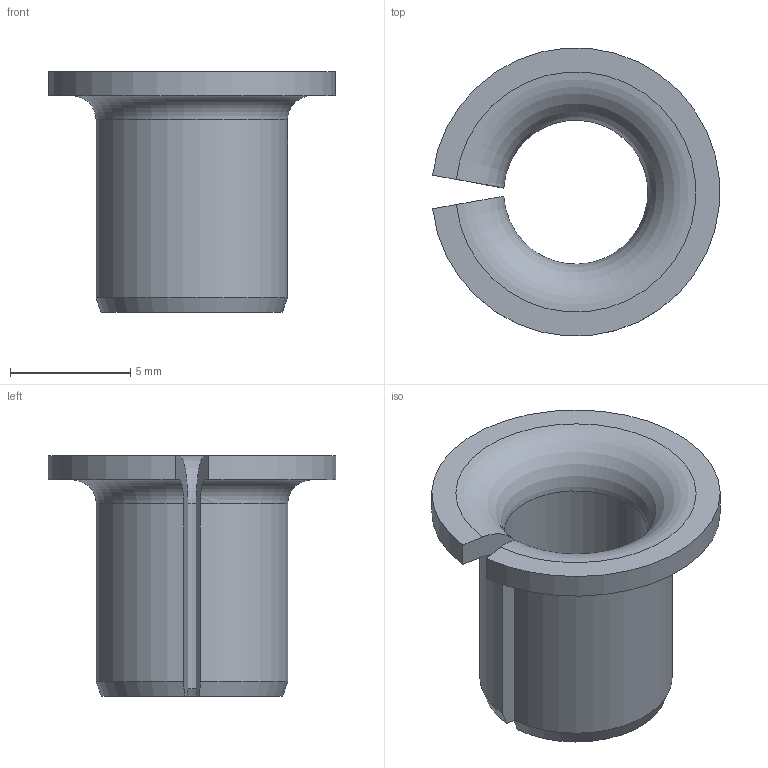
import cadquery as cq
import math

total_height = 10.0
bore_radius = 3.0
wall_thickness = 1.0
flange_radius = 6.0
flange_thickness = 1.0
mouth_radius = 2.0
outer_chamfer_height = 0.6
inner_chamfer_height = 0.3
outer_chamfer_angle = 20.0
inner_chamfer_angle = 30.0
slot_half_angle = 10.0
slot_apex_x = -2.0
slot_overrun = 1.0

body_radius = bore_radius + wall_thickness
neck_radius = mouth_radius - wall_thickness
flange_bottom = total_height - flange_thickness
curve_start = total_height - mouth_radius
curve_end_radius = bore_radius + mouth_radius
outer_chamfer_width = outer_chamfer_height * math.tan(math.radians(outer_chamfer_angle))
inner_chamfer_width = inner_chamfer_height * math.tan(math.radians(inner_chamfer_angle))
outer_tip_radius = body_radius - outer_chamfer_width
inner_tip_radius = bore_radius + inner_chamfer_width
arc_mid = math.sqrt(0.5)


def make_sleeve():
    """Revolve the wall profile (radius, height) about the Z axis."""
    neck_mid = (
        curve_end_radius - neck_radius * arc_mid,
        curve_start + neck_radius * arc_mid,
    )
    mouth_mid = (
        curve_end_radius - mouth_radius * arc_mid,
        curve_start + mouth_radius * arc_mid,
    )
    profile = (
        cq.Workplane("XZ")
        .moveTo(inner_tip_radius, 0)
        .lineTo(outer_tip_radius, 0)
        .lineTo(body_radius, outer_chamfer_height)
        .lineTo(body_radius, curve_start)
        .threePointArc(neck_mid, (curve_end_radius, flange_bottom))
        .lineTo(flange_radius, flange_bottom)
        .lineTo(flange_radius, total_height)
        .lineTo(curve_end_radius, total_height)
        .threePointArc(mouth_mid, (bore_radius, curve_start))
        .lineTo(bore_radius, inner_chamfer_height)
        .close()
    )
    sleeve = profile.revolve(360, (0, 0, 0), (0, 1, 0))
    return sleeve.rotate((0, 0, 0), (0, 0, 1), 180)


def make_slot_cutter():
    """Full-height wedge that opens outward along -X."""
    outer_x = -flange_radius - slot_overrun
    half_width = (slot_apex_x - outer_x) * math.tan(math.radians(slot_half_angle))
    return (
        cq.Workplane("XY", origin=(0, 0, -slot_overrun))
        .moveTo(slot_apex_x, 0)
        .lineTo(outer_x, half_width)
        .lineTo(outer_x, -half_width)
        .close()
        .extrude(total_height + 2 * slot_overrun)
    )


result = make_sleeve().cut(make_slot_cutter())